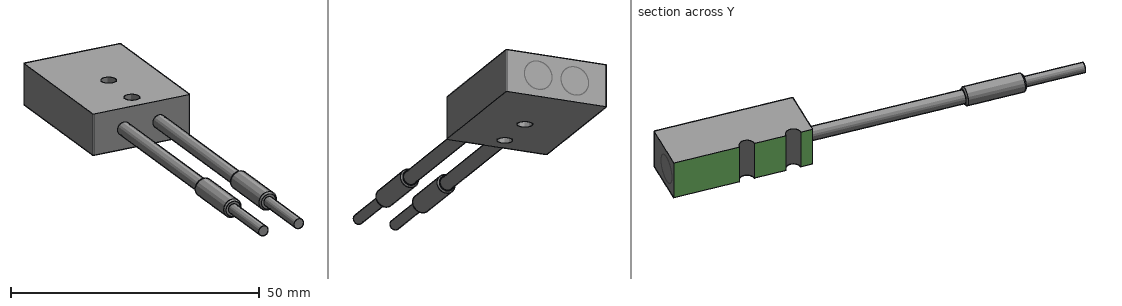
import cadquery as cq
import math

overall_length = 90.2
block_length = 29.95
block_width = 22.0
block_height = 9.0
corner_radius = 0.3

hole_diameter = 3.2
hole_positions = (15.8, 25.8)

pair_spacing = 8.0
pair_offsets = (-pair_spacing / 2, pair_spacing / 2)

lens_diameter = 6.0
lens_rise = 0.25

cable_diameter = 2.9
sleeve_diameter = 4.0
wire_diameter = 2.2
sleeve_length = 13.0
wire_length = 13.0
sleeve_chamfer = 0.4
lead_end = overall_length - lens_rise
wire_start = lead_end - wire_length
sleeve_start = wire_start - sleeve_length


def rod(diameter, start, end, y):
    """Cylinder along X between two stations, at mid-height of the block."""
    section = cq.Workplane("YZ", origin=(start, y, 0)).circle(diameter / 2)
    return section.extrude(end - start)


def lead(y):
    cable = rod(cable_diameter, block_length, sleeve_start, y)
    sleeve = rod(sleeve_diameter, sleeve_start, wire_start, y).edges().chamfer(sleeve_chamfer)
    wire = rod(wire_diameter, wire_start, lead_end, y)
    return cable.union(sleeve).union(wire)


def lens_dome(y):
    """Spherical cap revolved about the lens axis, with its rim on the front face."""
    lens_radius = lens_diameter / 2
    ball_radius = (lens_radius**2 + lens_rise**2) / (2 * lens_rise)
    half_angle = math.asin(lens_radius / ball_radius) / 2
    arc_middle_x = ball_radius * (1 - math.cos(half_angle)) - lens_rise
    arc_middle_y = ball_radius * math.sin(half_angle)
    profile = (
        cq.Workplane("XY", origin=(0, y, 0))
        .moveTo(0, 0)
        .lineTo(-lens_rise, 0)
        .threePointArc((arc_middle_x, arc_middle_y), (0, lens_radius))
        .close()
    )
    return profile.revolve(360, (0, 0), (1, 0))


block = cq.Workplane("XY").box(block_length, block_width, block_height, centered=(False, True, True))
block = block.edges("|Z").fillet(corner_radius)

for x in hole_positions:
    hole = cq.Workplane("XY", origin=(x, 0, 0)).circle(hole_diameter / 2)
    block = block.cut(hole.extrude(block_height / 2, both=True))

result = block
for y in pair_offsets:
    result = result.union(lens_dome(y)).union(lead(y))